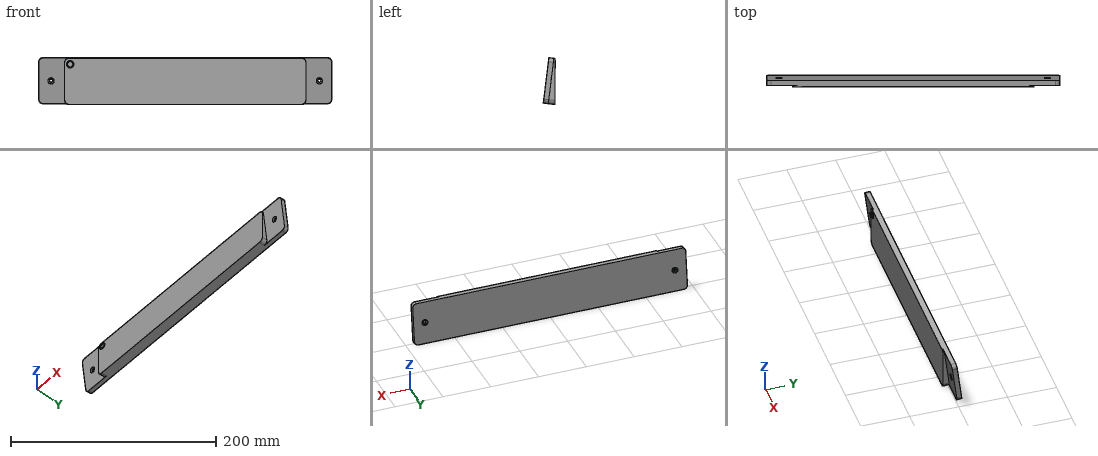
import cadquery as cq
import math

plate_length = 285.55
overall_depth = 11.81
overall_height = 45.85
tilt_deg = 7.0
tilt = math.radians(tilt_deg)

ring_outer_diameter = 7.2
ring_inner_diameter = 5.2
ring_height = 0.3
ring_side_offset = 5.4
ring_top_offset = 6.5

panel_depth = overall_depth - ring_height

plate_height = (overall_height - panel_depth * math.tan(tilt)) / math.cos(tilt)
plate_thickness = 5.0
plate_corner_radius = 4.0

panel_length = 235.0
panel_corner_radius = 4.0
block_thickness = 2 * panel_depth / math.cos(tilt)

mount_spacing = 261.5
hole_diameter = 3.0
front_counterbore_diameter = 6.0
front_counterbore_depth = 2.0
rear_counterbore_diameter = 5.81
rear_counterbore_depth = 1.0


def rounded_block(length, thickness, corner_radius):
    """Block standing on Z = 0 with its rear face on Y = 0 and four rounded corners."""
    block = cq.Workplane("XY").box(length, thickness, plate_height, centered=(True, False, False))
    return block.translate((0, -thickness, 0)).edges("|Y").fillet(corner_radius)


def lean(body):
    """Tilt a body about the lower rear edge so that its head comes forward."""
    return body.rotate((0, 0, 0), (1, 0, 0), tilt_deg)


def mounting_holes(plate):
    """Drill the holes at mid height, square to the plate, with a counterbore on each face."""
    places = [(-mount_spacing / 2, 0), (mount_spacing / 2, 0)]
    counterbores = (
        ("<Y", front_counterbore_diameter, front_counterbore_depth),
        (">Y", rear_counterbore_diameter, rear_counterbore_depth),
    )
    for face, diameter, depth in counterbores:
        plate = (
            plate.faces(face)
            .workplane(centerOption="CenterOfBoundBox")
            .pushPoints(places)
            .cboreHole(hole_diameter, diameter, depth)
        )
    return plate


def front_panel():
    """Leaning block cut off by the upright front plane."""
    block = lean(rounded_block(panel_length, block_thickness, panel_corner_radius))
    keep_height = 4 * plate_height
    keep = cq.Workplane("XY").box(panel_length, panel_depth, keep_height, centered=(True, False, True))
    return block.intersect(keep.translate((0, -panel_depth, 0)))


def raised_ring():
    """Low ring standing on the upright front face."""
    plate_top = plate_height * math.cos(tilt)
    return (
        cq.Workplane("XZ", origin=(0, -panel_depth, 0))
        .center(ring_side_offset - panel_length / 2, plate_top - ring_top_offset)
        .circle(ring_outer_diameter / 2)
        .circle(ring_inner_diameter / 2)
        .extrude(ring_height)
    )


plate = lean(mounting_holes(rounded_block(plate_length, plate_thickness, plate_corner_radius)))
result = plate.union(front_panel()).union(raised_ring())